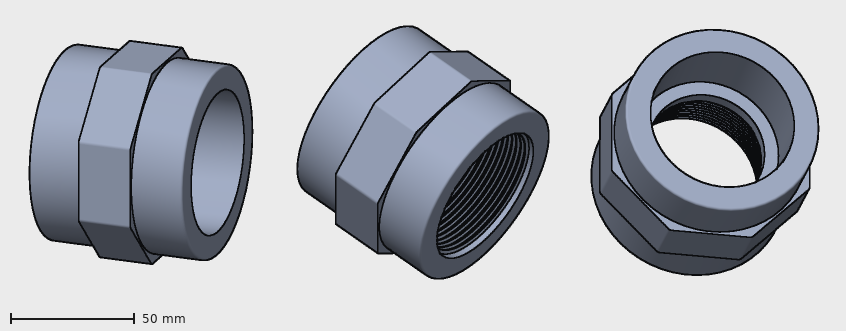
import cadquery as cq
import math

LENGTH = 66.4
BODY_DIAMETER = 80.0
END_FILLET = 1.0

ACROSS_FLATS = 82.0
COLLAR_WIDTH = 22.5
CORNER_FILLET = 2.0
COLLAR_SIDES = 8

BORE_DIAMETER = 48.05
SOCKET_DIAMETER = 59.5
SOCKET_DEPTH = 30.0

CREST_DIAMETER = 56.75
PITCH = 2.3
THREAD_TURNS = 12
THREAD_START = 2.1
RIDGE_BASE_WIDTH = 2.1
RIDGE_CREST_WIDTH = 0.5
ROOT_EMBED = 0.2
RUNOUT_LENGTH = 4.5
RUNOUT_TIP_SCALE = 0.1


def cylinder(diameter, length, start):
    """Cylinder along X beginning at x = start."""
    return cq.Workplane("YZ").workplane(offset=start).circle(diameter / 2).extrude(length)


def collar():
    """Octagonal prism with flats facing Y and Z and rounded corners."""
    half_side_angle = 180 / COLLAR_SIDES
    across_corners = ACROSS_FLATS / math.cos(math.radians(half_side_angle))
    return (
        cq.Workplane("YZ", origin=(-COLLAR_WIDTH / 2, 0, 0))
        .transformed(rotate=(0, 0, half_side_angle))
        .polygon(COLLAR_SIDES, across_corners)
        .extrude(COLLAR_WIDTH)
        .edges("|X")
        .fillet(CORNER_FILLET)
    )


def ridge_section(plane, scale=1.0):
    """Trapezoidal ridge section on its root line, pointing toward the axis."""
    root_radius = SOCKET_DIAMETER / 2 + ROOT_EMBED
    crest_radius = root_radius - scale * (root_radius - CREST_DIAMETER / 2)
    half_base = scale * RIDGE_BASE_WIDTH / 2
    half_crest = scale * RIDGE_CREST_WIDTH / 2
    return plane.polyline([
        (root_radius, -half_base),
        (crest_radius, -half_crest),
        (crest_radius, half_crest),
        (root_radius, half_base),
    ]).close()


def thread_ridge():
    """Right-hand ridge for the -X socket, starting at +Y with a tapered run-out."""
    root_radius = SOCKET_DIAMETER / 2 + ROOT_EMBED
    helix = cq.Wire.makeHelix(PITCH, PITCH * THREAD_TURNS, root_radius)
    ridge = ridge_section(cq.Workplane("XZ")).sweep(cq.Workplane(helix), isFrenet=True)
    runout_base = ridge_section(cq.Workplane("XZ"))
    tip_plane = runout_base.workplane(offset=RUNOUT_LENGTH, origin=(0, 0, 0))
    runout = ridge_section(tip_plane, RUNOUT_TIP_SCALE).loft(ruled=True)
    ridge = ridge.union(runout)
    ridge = ridge.rotate((0, 0, 0), (0, 0, 1), 90).rotate((0, 0, 0), (0, 1, 0), 90)
    return ridge.translate((THREAD_START - LENGTH / 2, 0, 0))


barrel = cylinder(BODY_DIAMETER, LENGTH, -LENGTH / 2).faces("<X or >X").edges().fillet(END_FILLET)
result = barrel.union(collar())

result = result.cut(cylinder(BORE_DIAMETER, LENGTH, -LENGTH / 2))
for socket_start in (-LENGTH / 2, LENGTH / 2 - SOCKET_DEPTH):
    result = result.cut(cylinder(SOCKET_DIAMETER, SOCKET_DEPTH, socket_start))

for turn in (0, 180):
    result = result.union(thread_ridge().rotate((0, 0, 0), (0, 0, 1), turn))